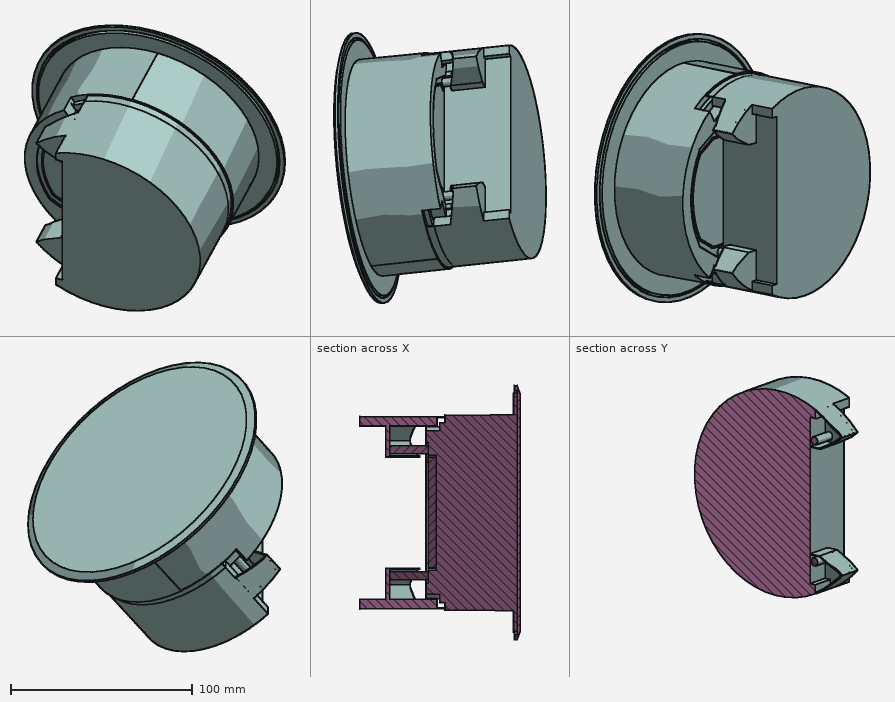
import cadquery as cq
import math


cover_radius = 75.0
cover_top_radius = 70.5
cover_plate_depth = 1.8
skirt_depth = 3.3
skirt_inner_radius = 72.3

flange_radius = 71.0
flange_depth = 3.9
collar_radius = 60.2
collar_drafted_radius = 59.8
wall_depth = 41.7
core_radius = 56.2
core_depth = 44.5
segment_depth = 52.2
segment_core_radius = 52.2
segment_end_z = 47.7
segment_end_angle = math.atan2(segment_end_z, math.sqrt(collar_radius**2 - segment_end_z**2))
segment_bend_radius = 57.8
segment_bend = (
    -segment_bend_radius * math.cos(segment_end_angle),
    segment_bend_radius * math.sin(segment_end_angle),
)
segment_foot = (-32.0, 40.6)

recess_radius = 52.8
recess_side_distance = 46.5
recess_depth = 1.2
flap_radius = 49.2
flap_side_distance = 42.3
flap_half_width = 30.6
flap_gap = 1.0
flap_edge_gap = 0.3
flap_thickness = 4.5
side_angle = math.radians(30)
recess_floor_depth = segment_depth - recess_depth

box_radius = 59.2
box_depth = 88.8
socket_radius = 58.8
socket_depth = 46.0
box_face_x = -22.8
ear_face_x = -26.5
ear_start_z = segment_end_z

claw_depth = 74.4
claw_root_depth = 55.5
claw_tip_depth = 60.8
claw_slope_end_x = -41.5
claw_corner = (-39.3, 35.8)
claw_tip_angle = math.radians(42)
claw_side = (-29.4, 30.6)

claw_wall = 0.8
claw_cavity_depth = 72.0

tab_z = 40.5
tab_width = 2.7
tab_length = 1.5

pin_radius = 2.4
pin_x = -25.6
pin_z = 34.8


def at_depth(depth):
    """Sketch plane with local axes X and Z, extruding toward -Y."""
    return cq.Workplane("XZ", origin=(0, -depth, 0))


def disc(radius, start, end):
    return at_depth(start).circle(radius).extrude(end - start)


def block(x_min, x_max, z_min, z_max, start, end):
    return (
        at_depth(start)
        .moveTo((x_min + x_max) / 2, (z_min + z_max) / 2)
        .rect(x_max - x_min, z_max - z_min)
        .extrude(end - start)
    )


def both_sides(shape):
    """Join a shape with its mirror image across z = 0."""
    return shape.union(shape.mirror("XY"))


def opening(radius, side_distance, end_x, start, end):
    """Prism with an arc facing -X, sides slanted at 30 degrees, and a straight edge at end_x."""
    corner_angle = math.pi / 2 + side_angle + math.acos(side_distance / radius)
    corner_x = radius * math.cos(corner_angle)
    corner_z = radius * math.sin(corner_angle)
    end_z = (side_distance + end_x * math.sin(side_angle)) / math.cos(side_angle)
    return (
        at_depth(start)
        .moveTo(end_x, end_z)
        .lineTo(corner_x, corner_z)
        .threePointArc((-radius, 0), (corner_x, -corner_z))
        .lineTo(end_x, -end_z)
        .close()
        .extrude(end - start)
    )


def flap_shape(margin, end_x):
    """The flap's outline with its arc and sides moved outward by the margin."""
    start = recess_floor_depth - flap_thickness
    half_width = flap_half_width + margin
    outline = opening(flap_radius + margin, flap_side_distance + margin, end_x, start, recess_floor_depth)
    return outline.intersect(
        block(-collar_radius, end_x, -half_width, half_width, start, recess_floor_depth)
    )


def make_cover():
    profile = [
        (0, 0),
        (cover_top_radius, 0),
        (cover_radius, -cover_plate_depth),
        (cover_radius, -skirt_depth),
        (skirt_inner_radius, -skirt_depth),
        (skirt_inner_radius, -cover_plate_depth),
        (0, -cover_plate_depth),
    ]
    return cq.Workplane("XY").polyline(profile).close().revolve(360, (0, 0, 0), (0, 1, 0))


def make_drafted_half():
    """The -X half of the collar, tapered below the flange."""
    profile = [
        (0, -flange_depth),
        (-collar_radius, -flange_depth),
        (-collar_drafted_radius, -segment_depth),
        (0, -segment_depth),
    ]
    tapered = cq.Workplane("XY").polyline(profile).close().revolve(360, (0, 0, 0), (0, 1, 0))
    size = 2 * collar_radius
    return tapered.intersect(block(-size, 0, -size, size, flange_depth, segment_depth))


def make_notch(wall_points, inner_radius, start, end):
    """Space beside the ends of the segment, outside inner_radius and bounded by a bent or flat wall."""
    reach = 2 * collar_radius
    wedge = (
        at_depth(start)
        .polyline([(0, 0), *wall_points])
        .lineTo(-reach * math.cos(segment_end_angle), reach * math.sin(segment_end_angle))
        .lineTo(0, reach)
        .close()
        .extrude(end - start)
    )
    return both_sides(wedge).cut(disc(inner_radius, start, end))


def make_collar():
    size = 2 * collar_radius
    segment_space = block(-size, box_face_x, -size, size, core_depth, segment_depth)
    drafted = make_drafted_half()
    wall = drafted.intersect(disc(size, flange_depth, core_depth)).union(drafted.intersect(segment_space))
    shallow_notch = make_notch([segment_bend], core_radius, wall_depth, core_depth)
    deep_notch = make_notch([segment_foot, segment_bend], segment_core_radius, core_depth, segment_depth)
    wall = wall.cut(shallow_notch).cut(deep_notch)

    straight_half = disc(collar_radius, flange_depth, wall_depth).intersect(
        block(0, size, -size, size, flange_depth, wall_depth)
    )
    flange = disc(flange_radius, cover_plate_depth, flange_depth)
    core = disc(core_radius, flange_depth, core_depth)
    collar = flange.union(wall).union(straight_half).union(core)

    recess = opening(
        recess_radius, recess_side_distance, box_face_x, recess_floor_depth, segment_depth
    )
    flap_pocket = flap_shape(flap_gap, box_face_x)
    return collar.cut(recess).cut(flap_pocket)


def make_flap():
    return flap_shape(0, box_face_x - flap_edge_gap)


def make_pin():
    return at_depth(recess_floor_depth).center(pin_x, pin_z).circle(pin_radius).extrude(
        claw_cavity_depth - recess_floor_depth
    )


def claw_outline(end_x, start):
    """Claw outline along Y: slanted inner sides, and an outer side on the round of the box."""
    tip_angle = math.pi - claw_tip_angle
    end_angle = math.acos(end_x / box_radius)
    mid_angle = (tip_angle + end_angle) / 2
    tip, mid, end = [
        (box_radius * math.cos(angle), box_radius * math.sin(angle))
        for angle in (tip_angle, mid_angle, end_angle)
    ]
    return (
        at_depth(start)
        .moveTo(end_x, claw_side[1])
        .lineTo(*claw_side)
        .lineTo(*claw_corner)
        .lineTo(*tip)
        .threePointArc(mid, end)
        .close()
    )


def make_claw():
    """Hollow claw whose open rim slopes away from the segment."""
    sloped_block = (
        cq.Workplane("XY")
        .moveTo(box_face_x, -claw_root_depth)
        .lineTo(ear_face_x, -claw_root_depth)
        .lineTo(claw_slope_end_x, -claw_tip_depth)
        .lineTo(-box_radius, -claw_tip_depth)
        .lineTo(-box_radius, -claw_depth)
        .lineTo(box_face_x, -claw_depth)
        .close()
        .extrude(box_radius)
    )
    claw = claw_outline(box_face_x, claw_root_depth).extrude(claw_depth - claw_root_depth)
    cavity = (
        claw_outline(box_face_x + claw_wall, claw_root_depth)
        .offset2D(-claw_wall)
        .extrude(claw_cavity_depth - claw_root_depth)
    )
    return claw.intersect(sloped_block).cut(cavity)


def make_box():
    size = 2 * box_radius
    body = disc(box_radius, wall_depth, box_depth)
    main = body.intersect(block(box_face_x, size, -size, size, wall_depth, box_depth))
    ear = body.intersect(block(ear_face_x, box_face_x, ear_start_z, size, wall_depth, box_depth))
    tab = block(
        box_face_x - tab_length, box_face_x,
        tab_z - tab_width / 2, tab_z + tab_width / 2,
        segment_depth, claw_root_depth,
    )
    socket = disc(socket_radius, wall_depth, socket_depth)
    box = main.union(both_sides(ear)).cut(socket)
    return box.union(both_sides(make_claw())).union(both_sides(tab))


cover = make_cover()
collar = make_collar()
flap = make_flap()
box = make_box()
upper_pin = make_pin()
pins = [upper_pin, upper_pin.mirror("XY")]

result = cq.Compound.makeCompound(
    [cover.val(), collar.val(), flap.val(), box.val(), *[pin.val() for pin in pins]]
)